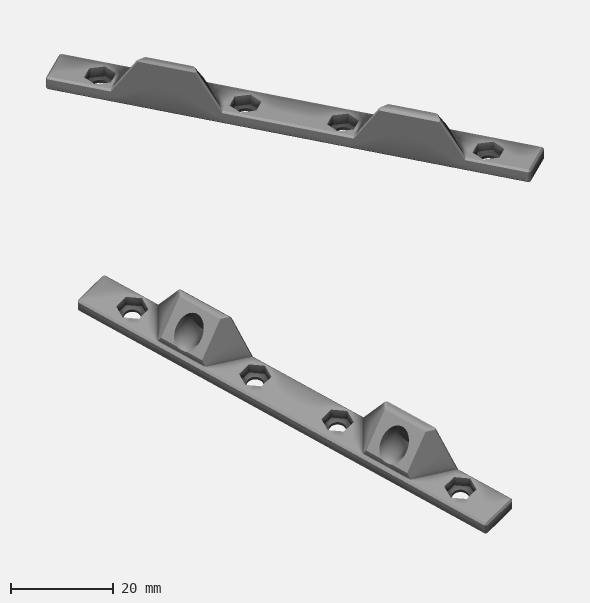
import cadquery as cq
import math

BAR_LENGTH = 99.8
BAR_WIDTH = 8.9
BAR_HEIGHT = 3
EDGE_CHAMFER = 0.4
FRONT_Y = -BAR_WIDTH / 2
BACK_Y = BAR_WIDTH / 2

SCREW_DIAMETER = 3.4
NUT_ACROSS_FLATS = 5.5
NUT_DEPTH = 2.3
SCREW_Y = FRONT_Y + 4
SCREW_OFFSET = 15
BEVEL_DIRECTION = math.radians(120)

WEDGE_SPACING = 50.0
TOTAL_HEIGHT = 11
RIDGE_WIDTH = 2
WEDGE_BACK_GAP = 0.9
WEDGE_BACK_HEIGHT = 1.3
SLOPE_FACE_WIDTH = 10
END_FLARE = 0.74
WEDGE_CHAMFER = 0.5

POCKET_DIAMETER = 6
POCKET_FRONT_WALL = 1
POCKET_Z = (BAR_HEIGHT + TOTAL_HEIGHT) / 2

RIDGE_BACK_Y = FRONT_Y + RIDGE_WIDTH
WEDGE_BACK_Y = BACK_Y - WEDGE_BACK_GAP
SLOPE_RUN = WEDGE_BACK_Y - RIDGE_BACK_Y
SLOPE_RISE = TOTAL_HEIGHT - BAR_HEIGHT - WEDGE_BACK_HEIGHT
SLOPE_ANGLE = math.atan2(SLOPE_RISE, SLOPE_RUN)
WEDGE_CENTRES = (-WEDGE_SPACING / 2, WEDGE_SPACING / 2)


def make_bar():
    bar = cq.Workplane("XY").box(BAR_LENGTH, BAR_WIDTH, BAR_HEIGHT, centered=(True, True, False))
    return bar.edges().chamfer(EDGE_CHAMFER)


def make_wedge(chamfer_ridge):
    """Wedge centred on X = 0, sunk into the bar by the depth of the edge chamfer."""
    bottom_z = BAR_HEIGHT - EDGE_CHAMFER
    profile = (
        cq.Workplane("YZ")
        .moveTo(FRONT_Y, bottom_z)
        .lineTo(FRONT_Y, TOTAL_HEIGHT)
        .lineTo(RIDGE_BACK_Y, TOTAL_HEIGHT)
        .lineTo(WEDGE_BACK_Y, BAR_HEIGHT + WEDGE_BACK_HEIGHT)
        .lineTo(WEDGE_BACK_Y, bottom_z)
        .close()
        .extrude(BAR_LENGTH / 4, both=True)
    )
    depth = BAR_WIDTH + TOTAL_HEIGHT
    half_slope = SLOPE_FACE_WIDTH / 2
    half_front = half_slope + depth * END_FLARE / math.sin(SLOPE_ANGLE)
    slope_plane = cq.Plane(
        origin=(0, RIDGE_BACK_Y, TOTAL_HEIGHT),
        xDir=(1, 0, 0),
        normal=(0, -math.cos(SLOPE_ANGLE), math.sin(SLOPE_ANGLE)),
    )
    flare = (
        cq.Workplane(slope_plane)
        .polyline([
            (-half_slope, 0),
            (half_slope, 0),
            (half_front, -depth),
            (-half_front, -depth),
        ])
        .close()
        .extrude(depth, both=True)
    )
    wedge = profile.intersect(flare)
    wedge = wedge.faces("<Y").edges("not |X").chamfer(WEDGE_CHAMFER)
    if chamfer_ridge:
        wedge = wedge.faces(">Z").edges("<Y").chamfer(WEDGE_CHAMFER)
    return wedge


def make_pocket():
    start_y = FRONT_Y + POCKET_FRONT_WALL
    return (
        cq.Workplane("XZ", origin=(0, start_y, POCKET_Z))
        .circle(POCKET_DIAMETER / 2)
        .extrude(-BAR_WIDTH)
    )


def make_screw_hole():
    """Through hole opening into a nut pocket with two corners along Y."""
    shank = cq.Workplane("XY").circle(SCREW_DIAMETER / 2).extrude(BAR_HEIGHT)
    nut_across_corners = NUT_ACROSS_FLATS / math.cos(math.pi / 6)
    nut = (
        cq.Workplane("XY", origin=(0, 0, BAR_HEIGHT - NUT_DEPTH))
        .transformed(rotate=(0, 0, 90))
        .polygon(6, nut_across_corners)
        .extrude(NUT_DEPTH)
    )
    return shank.union(nut)


result = make_bar()
for centre_x in WEDGE_CENTRES:
    wedge = make_wedge(chamfer_ridge=centre_x > 0).cut(make_pocket())
    result = result.union(wedge.translate((centre_x, 0, 0)))
    for side in (-1, 1):
        screw_x = centre_x + side * SCREW_OFFSET
        result = result.cut(make_screw_hole().translate((screw_x, SCREW_Y, 0)))

last_screw_x = WEDGE_SPACING / 2 + SCREW_OFFSET
floor_edge_middle = (
    last_screw_x + NUT_ACROSS_FLATS / 2 * math.cos(BEVEL_DIRECTION),
    SCREW_Y + NUT_ACROSS_FLATS / 2 * math.sin(BEVEL_DIRECTION),
    BAR_HEIGHT - NUT_DEPTH,
)
floor_edge = cq.selectors.NearestToPointSelector(floor_edge_middle)
result = result.edges(floor_edge).chamfer(EDGE_CHAMFER)